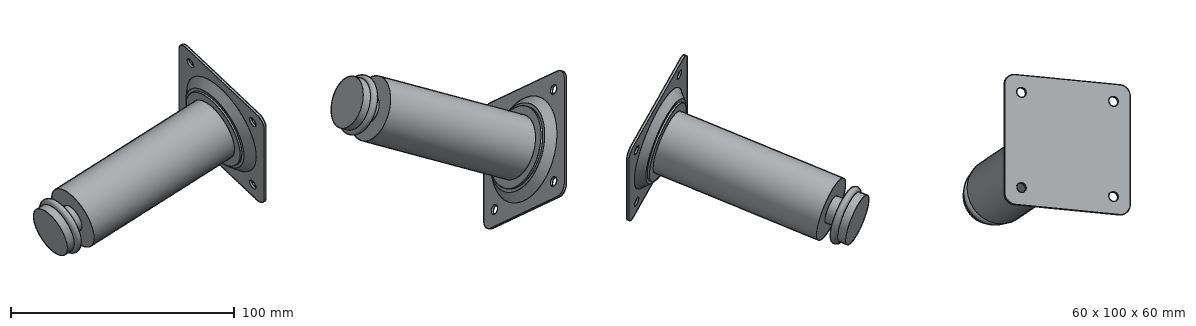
import cadquery as cq

plate_side = 60.0
plate_thickness = 1.2
plate_corner_radius = 5.0
hole_diameter = 4.5
hole_spacing = 44.0

cone_end = 5.0
collar_end = 6.0
tube_end = 87.0
stem_end = 91.9
bead_start = 92.5
bead_end = 96.0
total_length = 100.0

cone_base_radius = 24.5
cone_top_radius = 20.5
collar_radius = 19.0
tube_radius = 15.0
stem_radius = 6.5
foot_radius = 12.0
bead_radius = 13.8

back_y = total_length / 2


def make_plate():
    """Square plate with rounded corners and four screw holes."""
    return (
        cq.Workplane("XZ", origin=(0, back_y, 0))
        .rect(plate_side, plate_side)
        .extrude(plate_thickness)
        .edges("|Y")
        .fillet(plate_corner_radius)
        .faces("<Y")
        .workplane()
        .rect(hole_spacing, hole_spacing, forConstruction=True)
        .vertices()
        .hole(hole_diameter)
    )


def make_leg():
    """Cone, collar, tube, stem and foot turned about the Y axis."""
    bead_round = (bead_end - bead_start) / 2
    bead_center_radius = bead_radius - bead_round
    profile = (
        cq.Workplane("XY")
        .moveTo(0, 0)
        .lineTo(cone_base_radius, 0)
        .lineTo(cone_base_radius, -plate_thickness)
        .lineTo(cone_top_radius, -cone_end)
        .lineTo(collar_radius, -cone_end)
        .lineTo(collar_radius, -collar_end)
        .lineTo(tube_radius, -collar_end)
        .lineTo(tube_radius, -tube_end)
        .lineTo(stem_radius, -tube_end)
        .lineTo(stem_radius, -stem_end)
        .lineTo(bead_center_radius, -bead_start)
        .threePointArc((bead_radius, -bead_start - bead_round), (bead_center_radius, -bead_end))
        .lineTo(foot_radius, -bead_end)
        .lineTo(foot_radius, -total_length)
        .lineTo(0, -total_length)
        .close()
    )
    return profile.revolve(360, (0, 0, 0), (0, 1, 0)).translate((0, back_y, 0))


result = make_plate().union(make_leg())